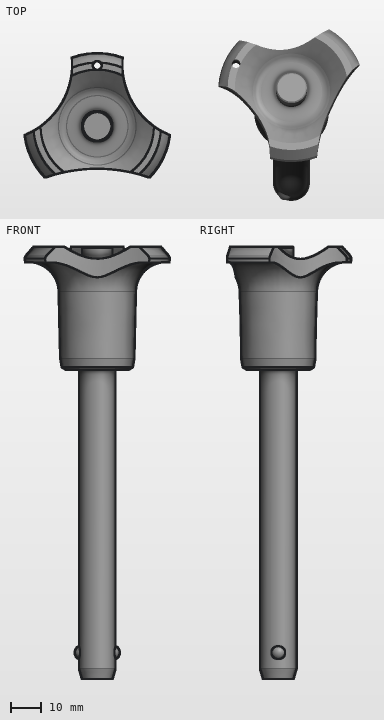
import cadquery as cq
import math

TOTAL_HEIGHT = 140.38
HANDLE_HEIGHT = 40.0
HANDLE_BOTTOM = TOTAL_HEIGHT - HANDLE_HEIGHT

SHANK_RADIUS = 6.0
SHANK_TIP_RADIUS = 5.0
SHANK_TIP_HEIGHT = 3.4
BALL_RADIUS = 2.3
BALL_HEIGHT = 8.6
BALL_REACH = 7.35

BARREL_FOOT_RADIUS = 10.2
BARREL_SHOULDER_RADIUS = 11.6
BARREL_SHOULDER_HEIGHT = 0.9
BARREL_LOW_RADIUS = 12.1
BARREL_LOW_HEIGHT = 3.7
BARREL_TOP_RADIUS = 12.6
BARREL_TOP_HEIGHT = 25.4

FLARE_RADIUS = 9.5
RIM_RADIUS = 23.81
RIM_BEVEL_RADIUS = 23.4
RIM_BEVEL_DEPTH = 3.0
RIM_NOSE_DEPTH = 3.9
RIM_BOTTOM_RADIUS = 23.6
RIM_TOP_OUTER_RADIUS = 20.7
RIM_TOP_INNER_RADIUS = 18.4
DISH_SLOPE_ANGLE = math.radians(40.8)
DISH_CORNER_RADIUS = 4.0
FLOOR_DEPTH = 6.0

BUTTON_RADIUS = 5.0
BUTTON_CHAMFER = 0.4

TOP_ARM_HALF_WIDTH = 8.3
SIDE_ARM_UPPER_Y = -2.87
SIDE_ARM_LOWER_Y = -16.69
SCALLOP_MIDDLE_RADIUS = 13.8
SIDE_SCALLOP_ANGLE = math.radians(30)
CUTTER_END_SCALE = 2
CUTTER_MIDDLE_SCALE = 4

TETHER_HOLE_Y = 19.7
TETHER_HOLE_DIAMETER = 2.8


def make_shank():
    profile = (
        cq.Workplane("XZ")
        .lineTo(SHANK_TIP_RADIUS, 0)
        .lineTo(SHANK_RADIUS, SHANK_TIP_HEIGHT)
        .lineTo(SHANK_RADIUS, HANDLE_BOTTOM + BARREL_LOW_HEIGHT)
        .lineTo(0, HANDLE_BOTTOM + BARREL_LOW_HEIGHT)
        .close()
    )
    shank = profile.revolve(360, (0, 0, 0), (0, 1, 0))
    ball_offset = BALL_REACH - BALL_RADIUS
    for side in (-1, 1):
        ball = cq.Workplane("XY").sphere(BALL_RADIUS).translate((side * ball_offset, 0, BALL_HEIGHT))
        shank = shank.union(ball)
    return shank


def make_handle_body():
    barrel_top = HANDLE_BOTTOM + BARREL_TOP_HEIGHT
    flare_center_radius = BARREL_TOP_RADIUS + FLARE_RADIUS
    flare_mid_offset = FLARE_RADIUS * math.sqrt(0.5)
    rim_bottom = barrel_top + FLARE_RADIUS
    floor_height = TOTAL_HEIGHT - FLOOR_DEPTH
    slope_end_rise = DISH_CORNER_RADIUS * (1 - math.cos(DISH_SLOPE_ANGLE))
    slope_run = (FLOOR_DEPTH - slope_end_rise) / math.tan(DISH_SLOPE_ANGLE)
    slope_end_radius = RIM_TOP_INNER_RADIUS - slope_run
    floor_radius = slope_end_radius - DISH_CORNER_RADIUS * math.sin(DISH_SLOPE_ANGLE)
    profile = (
        cq.Workplane("XZ")
        .moveTo(0, HANDLE_BOTTOM)
        .lineTo(BARREL_FOOT_RADIUS, HANDLE_BOTTOM)
        .lineTo(BARREL_SHOULDER_RADIUS, HANDLE_BOTTOM + BARREL_SHOULDER_HEIGHT)
        .lineTo(BARREL_LOW_RADIUS, HANDLE_BOTTOM + BARREL_LOW_HEIGHT)
        .lineTo(BARREL_TOP_RADIUS, barrel_top)
        .threePointArc(
            (flare_center_radius - flare_mid_offset, barrel_top + flare_mid_offset),
            (flare_center_radius, rim_bottom),
        )
        .lineTo(RIM_BOTTOM_RADIUS, rim_bottom)
        .lineTo(RIM_RADIUS, TOTAL_HEIGHT - RIM_NOSE_DEPTH)
        .lineTo(RIM_BEVEL_RADIUS, TOTAL_HEIGHT - RIM_BEVEL_DEPTH)
        .lineTo(RIM_TOP_OUTER_RADIUS, TOTAL_HEIGHT)
        .lineTo(RIM_TOP_INNER_RADIUS, TOTAL_HEIGHT)
        .lineTo(slope_end_radius, floor_height + slope_end_rise)
        .tangentArcPoint((floor_radius, floor_height), relative=False)
        .lineTo(0, floor_height)
        .close()
    )
    return profile.revolve(360, (0, 0, 0), (0, 1, 0))


def rim_x(y):
    """X of the rim circle at a given Y, on the +X side."""
    return math.sqrt(RIM_RADIUS**2 - y**2)


def make_scallop(start, middle, end):
    """Upright cutter bounded inside by the arc through three points."""
    far_start = (start[0] * CUTTER_END_SCALE, start[1] * CUTTER_END_SCALE)
    far_middle = (middle[0] * CUTTER_MIDDLE_SCALE, middle[1] * CUTTER_MIDDLE_SCALE)
    far_end = (end[0] * CUTTER_END_SCALE, end[1] * CUTTER_END_SCALE)
    return (
        cq.Workplane("XY", origin=(0, 0, HANDLE_BOTTOM + BARREL_TOP_HEIGHT))
        .moveTo(*start)
        .threePointArc(middle, end)
        .lineTo(*far_end)
        .lineTo(*far_middle)
        .lineTo(*far_start)
        .close()
        .extrude(HANDLE_HEIGHT)
    )


def cut_scallops(handle):
    lower_tip = (rim_x(SIDE_ARM_LOWER_Y), SIDE_ARM_LOWER_Y)
    lower_scallop = make_scallop(
        (-lower_tip[0], lower_tip[1]), (0, -SCALLOP_MIDDLE_RADIUS), lower_tip
    )
    handle = handle.cut(lower_scallop)
    top_arm_tip_y = math.sqrt(RIM_RADIUS**2 - TOP_ARM_HALF_WIDTH**2)
    side_tip_x = rim_x(SIDE_ARM_UPPER_Y)
    middle_x = SCALLOP_MIDDLE_RADIUS * math.cos(SIDE_SCALLOP_ANGLE)
    middle_y = SCALLOP_MIDDLE_RADIUS * math.sin(SIDE_SCALLOP_ANGLE)
    for side in (-1, 1):
        side_scallop = make_scallop(
            (side * side_tip_x, SIDE_ARM_UPPER_Y),
            (side * middle_x, middle_y),
            (side * TOP_ARM_HALF_WIDTH, top_arm_tip_y),
        )
        handle = handle.cut(side_scallop)
    return handle


def make_button():
    return (
        cq.Workplane("XY", origin=(0, 0, TOTAL_HEIGHT - FLOOR_DEPTH))
        .circle(BUTTON_RADIUS)
        .extrude(FLOOR_DEPTH)
        .faces(">Z")
        .chamfer(BUTTON_CHAMFER)
    )


def make_tether_hole():
    return (
        cq.Workplane("XY", origin=(0, TETHER_HOLE_Y, HANDLE_BOTTOM))
        .circle(TETHER_HOLE_DIAMETER / 2)
        .extrude(HANDLE_HEIGHT)
    )


handle = cut_scallops(make_handle_body()).cut(make_tether_hole())
result = make_shank().union(handle).union(make_button())